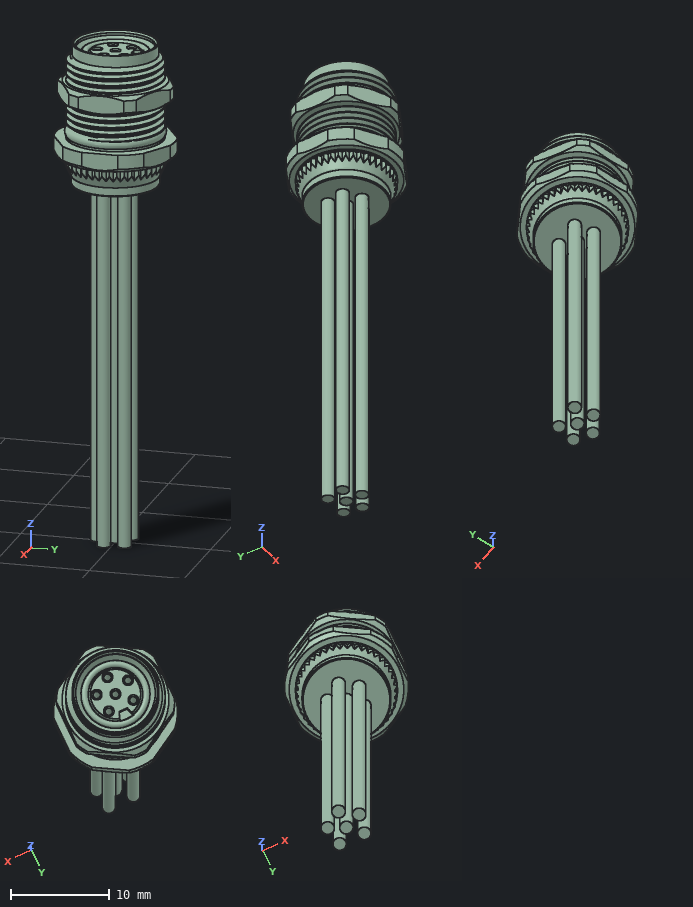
import cadquery as cq
import math

TOTAL_HEIGHT = 53.2
COLLAR_BOTTOM = 52.0
NUT_TOP = 49.25
NUT_BOTTOM = 47.25
SEAL_CENTRE = 43.85
FLANGE_TOP = 43.2
FLANGE_BOTTOM = 41.3
KNURL_TOP = 41.1
KNURL_BOTTOM = 40.55
REAR_CONE_BOTTOM = 39.3
REAR_RING_TOP = 39.15
BODY_BOTTOM = 38.2

COLLAR_RADIUS = 4.4
THREAD_RADIUS = 5.05
THREAD_DEPTH = 0.45
THREAD_PITCH = 0.75
THREAD_CREST = 0.1
THREAD_ROOT_FLAT = 0.1
THREAD_LEAD_IN = 0.4
THREAD_START = SEAL_CENTRE
THREAD_TURNS = 11

NUT_FLATS = 11.0
NUT_CORNERS = 12.0
NUT_CHAMFER_WIDTH = 0.6
NUT_CHAMFER_HEIGHT = 0.35
FLANGE_FLATS = 12.0
FLANGE_CORNERS = 12.6
FLANGE_CHAMFER_WIDTH = 0.5
FLANGE_CHAMFER_HEIGHT = 0.4

SEAL_RADIUS = 5.185
SEAL_SECTION_RADIUS = 0.65
KNURL_RADIUS = 5.185
KNURL_COUNT = 42
KNURL_DEPTH = 0.25
REAR_CONE_RADIUS = 4.65
REAR_RING_RADIUS = 4.5
REAR_CHAMFER = 0.1

RIM_RADIUS = 4.25
BORE_RADIUS = 4.05
BORE_DEPTH = 0.5
FUNNEL_RADIUS = 3.5
BEAD_CREST_DEPTH = 0.65
BEAD_INNER_RADIUS = 2.75
FACE_RADIUS = 2.55
FACE_DEPTH = 0.8
KEY_OUTER_WIDTH = 1.55
KEY_INNER_WIDTH = 0.9
KEY_INNER_Y = 1.8
KEY_DEPTH = 0.55

CONTACT_CIRCLE_RADIUS = 1.9
CONTACT_SPACING = 67.0
CONTACT_HOLE_RADIUS = 0.35
CONTACT_RIM_RADIUS = 0.55
CONTACT_HOLE_DEPTH = 4.25
WIRE_RADIUS = 0.7
WIRE_OVERLAP = 0.55


def contact_points():
    points = [(0.0, 0.0)]
    for step in range(-2, 3):
        angle = math.radians(-90 + step * CONTACT_SPACING)
        x = CONTACT_CIRCLE_RADIUS * math.cos(angle)
        y = CONTACT_CIRCLE_RADIUS * math.sin(angle)
        points.append((x, y))
    return points


def cylinder(radius, bottom, top):
    return cq.Workplane("XY").workplane(offset=bottom).circle(radius).extrude(top - bottom)


def revolve_profile(points):
    return cq.Workplane("XZ").polyline(points).close().revolve(360, (0, 0), (0, 1))


def threaded_barrel():
    """Barrel with a helical V groove and a tapered lead-in, topped by the plain collar."""
    barrel = revolve_profile([
        (0, FLANGE_TOP),
        (THREAD_RADIUS, FLANGE_TOP),
        (THREAD_RADIUS, COLLAR_BOTTOM - THREAD_LEAD_IN),
        (COLLAR_RADIUS, COLLAR_BOTTOM),
        (COLLAR_RADIUS, TOTAL_HEIGHT),
        (0, TOTAL_HEIGHT),
    ])
    root = THREAD_RADIUS - THREAD_DEPTH
    half_mouth = (THREAD_PITCH - THREAD_CREST) / 2
    overshoot = 0.05
    half_root = THREAD_ROOT_FLAT / 2
    half_outer = half_mouth + (half_mouth - half_root) * overshoot / THREAD_DEPTH
    helix = cq.Wire.makeHelix(THREAD_PITCH, THREAD_TURNS * THREAD_PITCH, root)
    groove = (
        cq.Workplane("XZ")
        .moveTo(root, half_root)
        .lineTo(THREAD_RADIUS + overshoot, half_outer)
        .lineTo(THREAD_RADIUS + overshoot, -half_outer)
        .lineTo(root, -half_root)
        .close()
        .sweep(cq.Workplane(obj=helix), isFrenet=True)
        .translate((0, 0, THREAD_START))
    )
    return barrel.cut(groove)


def hexagon(flats, corners, bottom, top, chamfer_width, chamfer_height, chamfer_top):
    """Hexagon with flats facing +X and -X, trimmed by a cylinder chamfered below and, if asked, above."""
    across_corners = flats / math.cos(math.radians(30))
    prism = (
        cq.Workplane("XY")
        .workplane(offset=bottom)
        .transformed(rotate=(0, 0, 30))
        .polygon(6, across_corners)
        .extrude(top - bottom)
    )
    edges = "%CIRCLE" if chamfer_top else "<Z"
    envelope = cylinder(corners / 2, bottom, top).edges(edges).chamfer(chamfer_height, chamfer_width)
    return prism.intersect(envelope)


def sealing_ring():
    centre_radius = SEAL_RADIUS - SEAL_SECTION_RADIUS
    section = cq.Workplane("XZ").center(centre_radius, SEAL_CENTRE).circle(SEAL_SECTION_RADIUS)
    return section.revolve(360, (-centre_radius, 0), (-centre_radius, 1))


def rear_body():
    """Knurled band, cone and plain ring below the flange."""
    body = revolve_profile([
        (0, FLANGE_BOTTOM),
        (KNURL_RADIUS, FLANGE_BOTTOM),
        (KNURL_RADIUS, KNURL_BOTTOM),
        (REAR_CONE_RADIUS, REAR_CONE_BOTTOM),
        (REAR_RING_RADIUS, REAR_RING_TOP),
        (REAR_RING_RADIUS, BODY_BOTTOM + REAR_CHAMFER),
        (REAR_RING_RADIUS - REAR_CHAMFER, BODY_BOTTOM),
        (0, BODY_BOTTOM),
    ])
    star = []
    for index in range(KNURL_COUNT):
        for offset, radius in ((0, KNURL_RADIUS), (0.5, KNURL_RADIUS - KNURL_DEPTH)):
            angle = 2 * math.pi * (index + offset) / KNURL_COUNT
            star.append((radius * math.cos(angle), radius * math.sin(angle)))
    height = KNURL_TOP - BODY_BOTTOM
    knurl = cq.Workplane("XY").workplane(offset=BODY_BOTTOM).polyline(star).close().extrude(height)
    return body.intersect(knurl.union(cylinder(KNURL_RADIUS, KNURL_TOP, FLANGE_BOTTOM)))


def wires():
    """Straight wires, rooted a little way inside the body."""
    length = BODY_BOTTOM + WIRE_OVERLAP
    return cq.Workplane("XY").pushPoints(contact_points()).circle(WIRE_RADIUS).extrude(length)


def socket():
    """Cutter for the stepped mouth, the rounded bead around the face, the key notch and contact holes."""
    face_z = TOTAL_HEIGHT - FACE_DEPTH
    funnel_z = TOTAL_HEIGHT - BORE_DEPTH - (BORE_RADIUS - FUNNEL_RADIUS)
    bead_crest = ((FUNNEL_RADIUS + BEAD_INNER_RADIUS) / 2, TOTAL_HEIGHT - BEAD_CREST_DEPTH)
    mouth = (
        cq.Workplane("XZ")
        .moveTo(0, TOTAL_HEIGHT)
        .lineTo(RIM_RADIUS, TOTAL_HEIGHT)
        .lineTo(BORE_RADIUS, TOTAL_HEIGHT - (RIM_RADIUS - BORE_RADIUS))
        .lineTo(BORE_RADIUS, TOTAL_HEIGHT - BORE_DEPTH)
        .lineTo(FUNNEL_RADIUS, funnel_z)
        .threePointArc(bead_crest, (BEAD_INNER_RADIUS, face_z - (BEAD_INNER_RADIUS - FACE_RADIUS)))
        .lineTo(FACE_RADIUS, face_z)
        .lineTo(0, face_z)
        .close()
        .revolve(360, (0, 0), (0, 1))
    )
    key = (
        cq.Workplane("XY")
        .workplane(offset=face_z - KEY_DEPTH)
        .polyline([
            (-KEY_INNER_WIDTH / 2, KEY_INNER_Y),
            (KEY_INNER_WIDTH / 2, KEY_INNER_Y),
            (KEY_OUTER_WIDTH / 2, BEAD_INNER_RADIUS),
            (-KEY_OUTER_WIDTH / 2, BEAD_INNER_RADIUS),
        ])
        .close()
        .extrude(KEY_DEPTH)
    )
    contact_hole = revolve_profile([
        (0, face_z),
        (CONTACT_RIM_RADIUS, face_z),
        (CONTACT_HOLE_RADIUS, face_z - (CONTACT_RIM_RADIUS - CONTACT_HOLE_RADIUS)),
        (CONTACT_HOLE_RADIUS, face_z - CONTACT_HOLE_DEPTH),
        (0, face_z - CONTACT_HOLE_DEPTH - CONTACT_HOLE_RADIUS),
    ])
    cutter = mouth.union(key)
    for x, y in contact_points():
        cutter = cutter.union(contact_hole.translate((x, y, 0)))
    return cutter


nut = hexagon(
    NUT_FLATS, NUT_CORNERS, NUT_BOTTOM, NUT_TOP, NUT_CHAMFER_WIDTH, NUT_CHAMFER_HEIGHT, True
)
flange = hexagon(
    FLANGE_FLATS, FLANGE_CORNERS, FLANGE_BOTTOM, FLANGE_TOP,
    FLANGE_CHAMFER_WIDTH, FLANGE_CHAMFER_HEIGHT, False
)

result = (
    nut
    .union(sealing_ring())
    .union(flange)
    .union(rear_body())
    .union(wires())
    .union(threaded_barrel())
    .cut(socket())
)